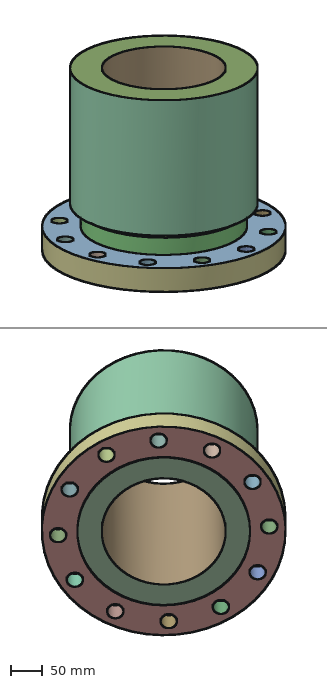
import cadquery as cq
import math

total_height = 304.8
flange_diameter = 381.0
flange_top = 41.3
raised_face_diameter = 269.9
raised_face_height = 1.6
neck_diameter = 260.4
barrel_diameter = 293.7
barrel_bottom = 79.4
taper_angle = 30.0
bore_diameter = 193.7

bolt_count = 12
bolt_circle_diameter = 330.2
bolt_hole_diameter = 25.4


def turned_body():
    """Revolve the half section of flange, neck, taper and barrel about Z."""
    bore_radius = bore_diameter / 2
    raised_face_radius = raised_face_diameter / 2
    flange_radius = flange_diameter / 2
    neck_radius = neck_diameter / 2
    barrel_radius = barrel_diameter / 2
    taper_height = (barrel_radius - neck_radius) * math.tan(math.radians(taper_angle))
    neck_top = barrel_bottom - taper_height
    section = (
        cq.Workplane("XZ")
        .moveTo(bore_radius, 0)
        .lineTo(raised_face_radius, 0)
        .lineTo(raised_face_radius, raised_face_height)
        .lineTo(flange_radius, raised_face_height)
        .lineTo(flange_radius, flange_top)
        .lineTo(neck_radius, flange_top)
        .lineTo(neck_radius, neck_top)
        .lineTo(barrel_radius, barrel_bottom)
        .lineTo(barrel_radius, total_height)
        .lineTo(bore_radius, total_height)
        .close()
    )
    return section.revolve(360, (0, 0, 0), (0, 1, 0))


def bolt_holes():
    """Cylinders spaced evenly on the bolt circle, the first one on +X."""
    return (
        cq.Workplane("XY")
        .polarArray(bolt_circle_diameter / 2, 0, 360, bolt_count)
        .circle(bolt_hole_diameter / 2)
        .extrude(flange_top)
    )


result = turned_body().cut(bolt_holes())